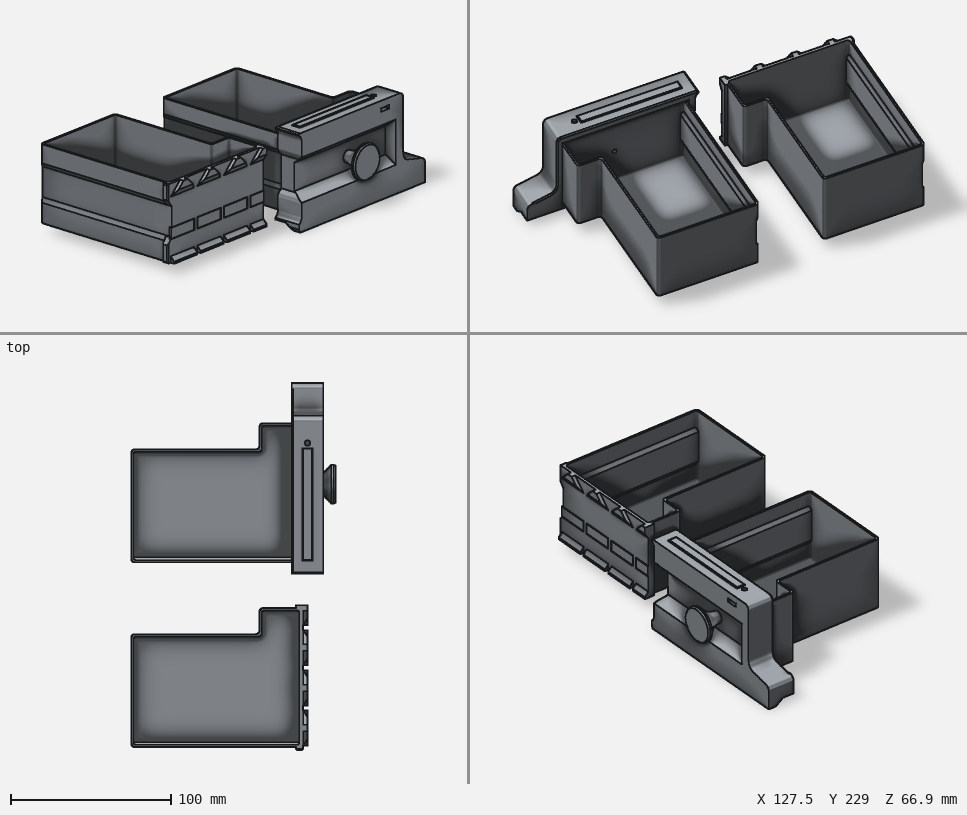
import cadquery as cq
bin_length = 107.2
bin_width = 86.8
narrow_width = 70.5
step_x = 80.0
bin_wall = 1.4
front_wall = 2.3
corner_radius = 2.3
inner_radius = 1.8
floor_fillet = 1.5
bottom_bevel = 0.5
bin_bottom = 7.5
loose_bin_height = 53.0
fitted_bin_height = 50.9
loose_bin_y = 1.8
fitted_bin_y = 117.0

groove_bottom = 21.5
groove_top = 47.9
groove_slope = 3.0
groove_depth = 1.8

flange_overhang = 1.8
flange_bevel = 1.0
flange_length = 4.5
hook_pitch = 25.09
hook_count = 4
hook_reach = 2.7
first_hook_y = 13.7
hook_top_half = 2.0
hook_half = 11.0
hook_end_rise = 4.1
lower_hook_height = 1.4
lower_hook_slope = 3.0
pad_reach = 0.5
pad_bottom = 23.4
pad_top = 31.0

bezel_back = 100.1
bezel_front = 119.8
bezel_top = 66.2
bezel_y = 110.0
bezel_shoulder_y = 208.5
bezel_end_y = 229.0
bezel_side_y = 112.3
bezel_groove_y = 115.2
top_radius = 3.7
top_bevel = 1.0
lip_bevel = 1.0
foot_bevel = 2.3
bezel_flank_low = 20.2
bezel_flank_high = 49.7
bezel_flank = 3.5
groove_round = 4.1
seat_gap = 0.7
seat_top = 61.2
lip_rise = 4.1
lip_start = 108.8
lip_end = 114.3

rail_x = 110.0
rail_size = (6.6, 70.3)
rail_y = 153.3
rail_height = 0.7
rail_bevel = 0.57
pin_hole_diameter = 3.5
pin_hole_y = 191.5
slot_width = 7.8
slot_height = 2.3

knob_y = 165.9
knob_z = 33.2
pocket_floor = 111.0
pocket_floor_low = 24.3
pocket_floor_high = 43.3
pocket_mouth_low = 19.5
pocket_mouth_high = 49.7
pocket_end_y = 201.5
screw_diameter = 3.0
knob_tip = 127.5
stem_radius = 4.1
knob_radius = 12.1
rim_width = 1.4


def box(x0, x1, y0, y1, z0, z1):
    """Box between opposite corners."""
    return cq.Workplane("XY").box(x1 - x0, y1 - y0, z1 - z0, centered=False).translate((x0, y0, z0))


def along_x(points, x0, x1):
    """Prism with a (Y, Z) outline, running from x0 to x1."""
    return cq.Workplane("YZ", origin=(x0, 0, 0)).polyline(points).close().extrude(x1 - x0)


def along_y(points, y0, y1):
    """Prism with an (X, Z) outline, running from y0 to y1."""
    return cq.Workplane("XZ", origin=(0, y0, 0)).polyline(points).close().extrude(y0 - y1)


def groove(face_y, depth, inset, x0, x1):
    """Trapezoidal guide groove cut into a face at face_y, its floor widened by inset on each side."""
    floor_y = face_y + depth
    floor_low = groove_bottom + groove_slope - inset
    floor_high = groove_top - groove_slope + inset
    flank_height = groove_slope + depth - groove_depth
    points = [
        (face_y, floor_low - flank_height),
        (floor_y, floor_low),
        (floor_y, floor_high),
        (face_y, floor_high + flank_height),
    ]
    return along_x(points, x0, x1)


def stepped_block(y0, inset, front_inset, radius, z0, z1):
    """Upright block with the stepped plan of a bin, its sides moved in by inset."""
    x0 = inset
    x1 = bin_length - front_inset
    plan = [
        (x0, y0 + inset),
        (x1, y0 + inset),
        (x1, y0 + bin_width - inset),
        (step_x + inset, y0 + bin_width - inset),
        (step_x + inset, y0 + narrow_width - inset),
        (x0, y0 + narrow_width - inset),
    ]
    block = cq.Workplane("XY", origin=(0, 0, z0)).polyline(plan).close().extrude(z1 - z0)
    rounded = block.edges("|Z") if front_inset else block.edges("|Z").edges("not >X")
    return rounded.fillet(radius)


def make_bin(y0, height):
    """Open box with a floor, thin walls and a guide groove that also bulges inwards."""
    top = bin_bottom + height
    shell = stepped_block(y0, 0, 0, corner_radius, bin_bottom, top)
    shell = shell.faces("<Z").edges().chamfer(bottom_bevel)
    shell = shell.cut(groove(y0, groove_depth, 0, 0, bin_length))
    space = stepped_block(y0, bin_wall, front_wall, inner_radius, bin_bottom + bin_wall, top)
    space = space.faces("<Z").edges().fillet(floor_fillet)
    space = space.cut(groove(y0 + bin_wall, groove_depth, bin_wall / 2, 0, bin_length))
    screw_hole = (
        cq.Workplane("YZ", origin=(bin_length - 2 * front_wall, y0 + knob_y - fitted_bin_y, knob_z))
        .circle(screw_diameter / 2)
        .extrude(3 * front_wall)
    )
    return shell.cut(space).cut(screw_hole)


def make_flange():
    """Collar around the front wall of the loose bin."""
    y0 = loose_bin_y - flange_overhang
    y1 = loose_bin_y + bin_width + flange_overhang
    x0 = bin_length - flange_length
    top = bin_bottom + loose_bin_height
    collar = box(x0, bin_length, y0, y1, bin_bottom, top)
    collar = collar.edges("<Y").chamfer(flange_bevel)
    collar = collar.cut(groove(y0, flange_overhang + groove_depth, 0, x0, bin_length))
    opening = stepped_block(loose_bin_y, bin_wall, front_wall, inner_radius, bin_bottom, top)
    return collar.cut(opening)


def make_hooks():
    """Flared hooks along the top of the flange, wedges along its bottom and pads between."""
    top = bin_bottom + loose_bin_height
    base = bin_length - front_wall / 2
    tip = bin_length + hook_reach
    low = top - (hook_half - hook_top_half)
    wedge_top = bin_bottom + lower_hook_height
    hooks = cq.Workplane("XY")
    for i in range(hook_count):
        y = first_hook_y + i * hook_pitch
        flare = [
            (y - hook_top_half, top),
            (y + hook_top_half, top),
            (y + hook_half, low),
            (y - hook_half, low),
        ]
        underside = [(bin_length, low), (tip, low), (tip, low + hook_end_rise)]
        hook = along_x(flare, base, tip).cut(along_y(underside, y - hook_half, y + hook_half))
        wedge = along_y(
            [
                (base, bin_bottom),
                (tip, bin_bottom),
                (tip, wedge_top),
                (bin_length, wedge_top + lower_hook_slope),
                (base, wedge_top + lower_hook_slope),
            ],
            y - hook_half,
            y + hook_half,
        )
        pad = box(base, bin_length + pad_reach, y - hook_half, y + hook_half, pad_bottom, pad_top)
        hooks = hooks.add(hook).add(wedge).add(pad)
    flange_end = loose_bin_y + bin_width + flange_overhang
    limits = box(base, tip, 0, flange_end, bin_bottom, top)
    screw_hole = (
        cq.Workplane("YZ", origin=(base, loose_bin_y + knob_y - fitted_bin_y, knob_z))
        .circle(screw_diameter / 2)
        .extrude(hook_reach)
    )
    return hooks.combine().intersect(limits).cut(screw_hole)


def make_bezel_block():
    """Solid bezel: side outline run along X, with its foot, lips, groove and shoulder."""
    block = (
        cq.Workplane("YZ", origin=(bezel_back, 0, 0))
        .moveTo(bezel_y + lip_bevel, 0)
        .lineTo(bezel_end_y, 0)
        .lineTo(bezel_end_y, 14.0)
        .threePointArc((228.0, 16.0), (225.2, 17.2))
        .lineTo(213.0, 19.7)
        .threePointArc((209.9, 21.8), (bezel_shoulder_y, 25.7))
        .lineTo(bezel_shoulder_y, bezel_top - top_radius)
        .radiusArc((bezel_shoulder_y - top_radius, bezel_top), -top_radius)
        .lineTo(bezel_y + lip_bevel, bezel_top)
        .lineTo(bezel_y, bezel_top - lip_bevel)
        .lineTo(bezel_y, 64.5)
        .threePointArc((111.5, 63.0), (bezel_side_y, 60.3))
        .lineTo(bezel_side_y, bezel_flank_high)
        .lineTo(bezel_groove_y, bezel_flank_high - bezel_flank)
        .lineTo(bezel_groove_y, bezel_flank_low + bezel_flank)
        .lineTo(bezel_side_y, bezel_flank_low)
        .lineTo(bezel_side_y, 9.9)
        .threePointArc((111.5, 7.3), (bezel_y, 5.5))
        .lineTo(bezel_y, foot_bevel)
        .close()
        .extrude(bezel_front - bezel_back)
    )
    mid_x = (bezel_back + bezel_front) / 2
    for z in (bezel_flank_low, bezel_flank_high):
        corner = cq.selectors.NearestToPointSelector((mid_x, bezel_side_y, z))
        block = block.edges(corner).fillet(groove_round)
    return block.faces("<X").edges(">Z").chamfer(top_bevel)


def make_bezel():
    """Bezel with the seat for the fitted bin, the finger pocket, the top rail and its holes."""
    seat = box(
        bezel_back, bin_length,
        fitted_bin_y - seat_gap, fitted_bin_y + bin_width + seat_gap,
        bin_bottom - seat_gap, seat_top,
    )
    seat = seat.cut(groove(fitted_bin_y - seat_gap, groove_depth, 0, bezel_back, bin_length))
    under_step = along_y(
        [(bezel_back, 0), (lip_end, 0), (lip_start, lip_rise), (bezel_back, lip_rise)],
        bezel_y,
        bezel_end_y,
    )
    finger_pocket = along_y(
        [
            (pocket_floor, pocket_floor_low),
            (bezel_front, pocket_mouth_low),
            (bezel_front, pocket_mouth_high),
            (pocket_floor, pocket_floor_high),
        ],
        bezel_side_y,
        pocket_end_y,
    )
    screw_hole = (
        cq.Workplane("YZ", origin=(bin_length, knob_y, knob_z))
        .circle(screw_diameter / 2)
        .extrude(pocket_floor - bin_length)
    )
    sight_slot = box(
        bin_length, bezel_front,
        pin_hole_y - slot_width / 2, pin_hole_y + slot_width / 2,
        seat_top - slot_height, seat_top,
    )
    pin_hole = (
        cq.Workplane("XY", origin=(rail_x, pin_hole_y, seat_top))
        .circle(pin_hole_diameter / 2)
        .extrude(bezel_top - seat_top)
    )
    rail = (
        cq.Workplane("XY", origin=(rail_x, rail_y, bezel_top))
        .rect(*rail_size)
        .extrude(rail_height)
        .faces(">Z")
        .edges()
        .chamfer(rail_bevel)
    )
    bezel = make_bezel_block().union(rail)
    for cutter in (seat, under_step, finger_pocket, screw_hole, sight_slot, pin_hole):
        bezel = bezel.cut(cutter)
    return bezel


def make_knob():
    """Flared knob turned about the X direction, standing on the pocket floor."""
    outline = (
        cq.Workplane("XY")
        .moveTo(pocket_floor, 0)
        .lineTo(pocket_floor, stem_radius)
        .spline([(knob_tip - 2 * rim_width, knob_radius)], tangents=[(1, 0), (1, 1)], includeCurrent=True)
        .lineTo(knob_tip - rim_width, knob_radius)
        .lineTo(knob_tip, knob_radius - rim_width / 2)
        .lineTo(knob_tip, 0)
        .close()
    )
    return outline.revolve(360, (0, 0, 0), (1, 0, 0)).translate((0, knob_y, knob_z))


fitted_bin = make_bin(fitted_bin_y, fitted_bin_height)
loose_bin = make_bin(loose_bin_y, loose_bin_height).union(make_flange()).union(make_hooks())
bezel = make_bezel()
knob = make_knob()

result = cq.Compound.makeCompound([fitted_bin.val(), loose_bin.val(), bezel.val(), knob.val()])